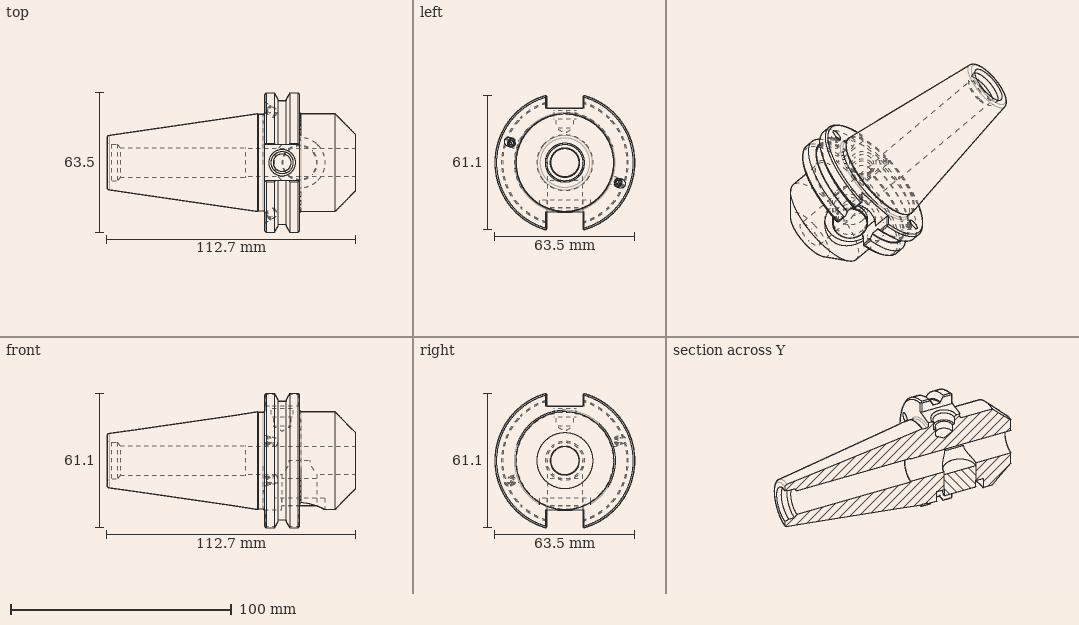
import cadquery as cq
import math


cut_margin = 1.0

gauge_radius = 44.45 / 2
shank_length = 68.26
taper_ratio = 7 / 24
shank_end_radius = gauge_radius - shank_length * taper_ratio / 2
shank_end_fillet = 1.2

neck_radius = 43.94 / 2
neck_start = 0.4
neck_fillet = 0.76

flange_front = 3.175
flange_back = 19.05
flange_radius = 63.5 / 2
flange_chamfer = 0.8
groove_center = 11.1
groove_floor_radius = 28.18
groove_floor_width = 3.6
groove_mouth_width = 7.1
groove_flank_angle = 30
groove_flank_width = (groove_mouth_width - groove_floor_width) / 2
groove_flank_depth = groove_flank_width / math.tan(math.radians(groove_flank_angle))

nose_end = 44.45
nose_radius = gauge_radius
nose_end_radius = 12.7
nose_cone_start = 35.15
nose_fillet = 0.7

pilot_radius = 16.46 / 2
pilot_depth = 4.8
pilot_chamfer = 0.65
pilot_chamfer_length = 2.0
pilot_cone_length = 1.2
thread_bore_radius = 13.39 / 2
tool_bore_radius = 12.75 / 2
tool_bore_depth = 50.0

slot_width = 16.26
slot_chamfer = 0.6
upper_slot_floor = 24.7
lower_slot_floor = 22.45

pocket_radius = 10.05 / 2
pocket_depth = 5.0
pocket_chamfer = 1.0
pocket_drill_radius = 8 / 2
pocket_drill_depth = 9.0
drill_point_half_angle = 59

screw_x = 19.05
screw_radius = 15.88 / 2
screw_outer_end = 20.6
screw_inner_end = 8.0
screw_chamfer = 0.35
recess_radius = 11.5
recess_floor = 17.0

plug_circle_radius = 26.75
plug_angle = 20.5
plug_tilt = 32
plug_hole_radius = 4.2 / 2
plug_hole_overrun = 2.0
plug_radius = 4 / 2
plug_depth = 1.8
plug_length = 4.0
plug_chamfer = 0.35
plug_hex_width = 2.0
plug_hex_depth = 1.5
plug_hex_diameter = plug_hex_width / math.cos(math.radians(30))
plug_turns = (0, 180)


def cylinder(start, direction, radius, length):
    return cq.Workplane(cq.Solid.makeCylinder(radius, length, cq.Vector(*start), cq.Vector(*direction)))


def make_blank():
    """Turned outside of the holder."""
    floor_half = groove_floor_width / 2
    mouth_half = groove_mouth_width / 2
    flank_radius = flange_radius - groove_flank_depth
    rim_radius = flange_radius - flange_chamfer
    profile = (
        cq.Workplane("XY")
        .moveTo(-shank_length, 0)
        .lineTo(-shank_length, shank_end_radius)
        .lineTo(0, gauge_radius)
        .lineTo(neck_start, neck_radius)
        .lineTo(flange_front - neck_fillet, neck_radius)
        .radiusArc((flange_front, neck_radius + neck_fillet), -neck_fillet)
        .lineTo(flange_front, rim_radius)
        .lineTo(flange_front + flange_chamfer, flange_radius)
        .lineTo(groove_center - mouth_half, flange_radius)
        .lineTo(groove_center - floor_half, flank_radius)
        .lineTo(groove_center - floor_half, groove_floor_radius)
        .lineTo(groove_center + floor_half, groove_floor_radius)
        .lineTo(groove_center + floor_half, flank_radius)
        .lineTo(groove_center + mouth_half, flange_radius)
        .lineTo(flange_back - flange_chamfer, flange_radius)
        .lineTo(flange_back, rim_radius)
        .lineTo(flange_back, nose_radius + nose_fillet)
        .radiusArc((flange_back + nose_fillet, nose_radius), -nose_fillet)
        .lineTo(nose_cone_start, nose_radius)
        .lineTo(nose_end, nose_end_radius)
        .lineTo(nose_end, 0)
        .close()
    )
    blank = profile.revolve(360, (0, 0, 0), (1, 0, 0))
    return blank.faces("<X").edges().fillet(shank_end_fillet)


def make_bore():
    """Through bore: chamfered pilot, conical step, thread bore and tool bore."""
    pilot_end = -shank_length + pilot_depth
    cone_end = pilot_end + pilot_cone_length
    tool_bore_start = nose_end - tool_bore_depth
    return (
        cq.Workplane("XY")
        .moveTo(-shank_length, 0)
        .lineTo(-shank_length, pilot_radius + pilot_chamfer)
        .lineTo(-shank_length + pilot_chamfer_length, pilot_radius)
        .lineTo(pilot_end, pilot_radius)
        .lineTo(cone_end, thread_bore_radius)
        .lineTo(tool_bore_start, thread_bore_radius)
        .lineTo(tool_bore_start, tool_bore_radius)
        .lineTo(nose_end, tool_bore_radius)
        .lineTo(nose_end, 0)
        .close()
        .revolve(360, (0, 0, 0), (1, 0, 0))
    )


def make_drive_slot(side, floor):
    """Drive slot on the +Z (side = 1) or -Z (side = -1) side, flared at both flange faces and at the rim."""
    half = slot_width / 2
    flared = half + slot_chamfer
    length = flange_back - flange_front
    height = flange_radius - floor + cut_margin
    plan = (
        cq.Workplane("XY", origin=(0, 0, side * floor))
        .moveTo(flange_front, -flared)
        .lineTo(flange_front + slot_chamfer, -half)
        .lineTo(flange_back - slot_chamfer, -half)
        .lineTo(flange_back, -flared)
        .lineTo(flange_back, flared)
        .lineTo(flange_back - slot_chamfer, half)
        .lineTo(flange_front + slot_chamfer, half)
        .lineTo(flange_front, flared)
        .close()
        .extrude(side * height)
    )
    rim_z = math.sqrt(flange_radius ** 2 - flared ** 2)
    rim_flare = (
        cq.Workplane("YZ", origin=(flange_front, 0, 0))
        .polyline([
            (-half, side * (rim_z - slot_chamfer)),
            (-flared - cut_margin, side * (rim_z + cut_margin)),
            (flared + cut_margin, side * (rim_z + cut_margin)),
            (half, side * (rim_z - slot_chamfer)),
        ])
        .close()
        .extrude(length)
    )
    return plan.union(rim_flare)


def make_pocket():
    step_z = upper_slot_floor - pocket_depth
    drill_z = upper_slot_floor - pocket_drill_depth
    tip_z = drill_z - pocket_drill_radius / math.tan(math.radians(drill_point_half_angle))
    return (
        cq.Workplane("XZ")
        .moveTo(0, upper_slot_floor)
        .lineTo(pocket_radius + pocket_chamfer, upper_slot_floor)
        .lineTo(pocket_radius, upper_slot_floor - pocket_chamfer)
        .lineTo(pocket_radius, step_z)
        .lineTo(pocket_drill_radius, step_z)
        .lineTo(pocket_drill_radius, drill_z)
        .lineTo(0, tip_z)
        .close()
        .revolve(360, (0, 0, 0), (0, 1, 0))
        .translate((groove_center, 0, 0))
    )


def make_screw_recess():
    """Round recess around the screw; beside the flange cheeks it keeps to the width of the drive slot."""
    length = nose_radius + cut_margin - recess_floor
    full = cylinder((screw_x, 0, -recess_floor), (0, 0, -1), recess_radius, length)
    cheek_width = recess_radius - slot_width / 2 + cut_margin
    for side in (1, -1):
        cheek = (
            cq.Workplane("XY")
            .box(flange_back, cheek_width, flange_radius, centered=(False, True, False))
            .translate((0, side * (slot_width + cheek_width) / 2, -flange_radius))
        )
        full = full.cut(cheek)
    return full


def make_screw_hole():
    return cylinder((screw_x, 0, 0), (0, 0, -1), screw_radius, flange_radius)


def make_screw():
    length = screw_outer_end - screw_inner_end
    body = cylinder((screw_x, 0, -screw_outer_end), (0, 0, 1), screw_radius, length)
    return body.faces("<Z").chamfer(screw_chamfer)


def place_plug(shape, turn):
    """Move a shape built along +X from the origin into an inclined plug hole."""
    return (
        shape
        .rotate((0, 0, 0), (0, 0, 1), -plug_tilt)
        .translate((flange_front, plug_circle_radius, 0))
        .rotate((0, 0, 0), (1, 0, 0), plug_angle + turn)
    )


def make_plug_hole(turn):
    entry = cylinder((-plug_hole_overrun, 0, 0), (1, 0, 0), plug_hole_radius, plug_depth + plug_hole_overrun)
    seat = cylinder((plug_depth, 0, 0), (1, 0, 0), plug_radius, plug_length)
    return place_plug(entry.union(seat), turn)


def make_plug(turn):
    body = cylinder((plug_depth, 0, 0), (1, 0, 0), plug_radius, plug_length).faces("<X").chamfer(plug_chamfer)
    socket = (
        cq.Workplane("YZ", origin=(plug_depth, 0, 0))
        .polygon(6, plug_hex_diameter)
        .extrude(plug_hex_depth)
    )
    return place_plug(body.cut(socket), turn)


housing = (
    make_blank()
    .cut(make_bore())
    .cut(make_drive_slot(1, upper_slot_floor))
    .cut(make_drive_slot(-1, lower_slot_floor))
    .cut(make_pocket())
    .cut(make_screw_recess())
    .cut(make_screw_hole())
)
for turn in plug_turns:
    housing = housing.cut(make_plug_hole(turn))

screw = make_screw()
plugs = [make_plug(turn) for turn in plug_turns]

result = cq.Compound.makeCompound([housing.val(), screw.val(), *[plug.val() for plug in plugs]])